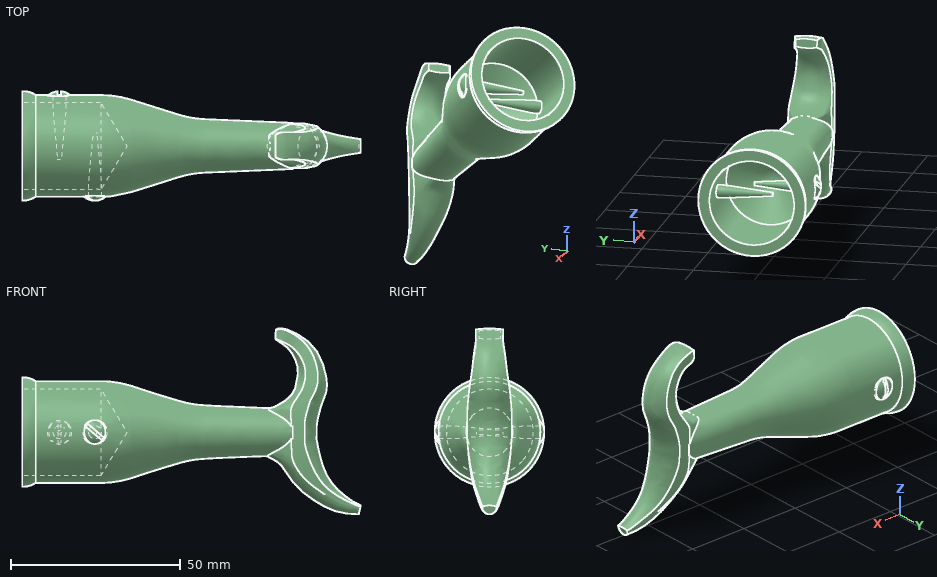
import cadquery as cq
import math

rim_radius = 16.245
rim_length = 4.0
rim_bulge = (2.4, 15.9)
barrel_radius = 15.1
barrel_end = 23.25
shoulder_angle = math.radians(17.5)
shoulder_round = 30.0
shoulder_end = 46.2
waist_round = 30.0
neck_angle = math.radians(2.4)
neck_end = 80.0

bore_radius = 12.85
bore_depth = barrel_end
bore_point_angle = math.radians(118)

head_radius = 3.55
head_crest = rim_radius
head_seat = math.sqrt(barrel_radius**2 - head_radius**2)
slot_width = 1.0
slot_depth = 1.15
shank_radius = 1.9
shank_end = 10.4
tip_radius = 0.55
tip_position = -3.9
screw_places = [
    (21.5, 0, 40),
    (11.0, 180, 90),
]

hook_sections = [
    ((74.83, 27.5), (75.0, 30.3), 0.3, 0.3, 3.2),
    ((75.4, 27.05), (75.7, 30.63), 0.4, 0.3, 3.65),
    ((78.4, 25.0), (81.3, 29.05), 0.9, 0.6, 4.0),
    ((80.8, 21.3), (87.2, 23.9), 1.8, 1.6, 4.6),
    ((81.5, 17.0), (90.0, 16.3), 2.3, 2.5, 5.4),
    ((80.7, 12.9), (90.0, 11.8), 2.1, 3.3, 6.0),
    ((78.6, 10.0), (88.9, 8.8), 2.4, 3.7, 6.3),
    ((74.7, 7.5), (88.3, 7.1), 5.0, 3.7, 6.5),
    ((71.0, 6.4), (87.5, 3.9), 8.6, 3.7, 6.6),
    ((70.0, 0.0), (87.2, 0.0), 9.6, 3.7, 6.65),
    ((71.4, -6.4), (87.4, -3.5), 8.4, 3.7, 6.4),
    ((75.2, -8.7), (88.0, -6.3), 4.8, 3.5, 6.1),
    ((80.0, -14.7), (89.2, -10.5), 3.4, 2.9, 5.3),
    ((86.3, -20.2), (91.6, -15.0), 3.3, 2.1, 4.1),
    ((92.5, -23.4), (95.6, -18.9), 2.8, 1.1, 2.9),
    ((96.0, -24.15), (97.9, -20.5), 2.4, 0.7, 2.45),
    ((99.6, -24.38), (100.21, -21.7), 1.7, 0.3, 2.05),
]


def turned_body():
    """Solid of revolution from the rim to the end of the neck."""
    cone_start = barrel_end + shoulder_round * math.sin(shoulder_angle)
    cone_start_radius = barrel_radius - shoulder_round * (1 - math.cos(shoulder_angle))
    cone_end_radius = cone_start_radius - (shoulder_end - cone_start) * math.tan(shoulder_angle)
    neck_start = shoulder_end + waist_round * (math.sin(shoulder_angle) - math.sin(neck_angle))
    neck_start_radius = cone_end_radius - waist_round * (math.cos(neck_angle) - math.cos(shoulder_angle))
    neck_end_radius = neck_start_radius - (neck_end - neck_start) * math.tan(neck_angle)
    return (
        cq.Workplane("XY")
        .lineTo(0, rim_radius)
        .threePointArc(rim_bulge, (rim_length, barrel_radius))
        .lineTo(barrel_end, barrel_radius)
        .tangentArcPoint((cone_start, cone_start_radius), relative=False)
        .lineTo(shoulder_end, cone_end_radius)
        .tangentArcPoint((neck_start, neck_start_radius), relative=False)
        .lineTo(neck_end, neck_end_radius)
        .lineTo(neck_end, 0)
        .close()
        .revolve(360, (0, 0, 0), (1, 0, 0))
    )


def bore():
    """Cylindrical socket with a conical bottom."""
    cone_depth = bore_radius / math.tan(bore_point_angle / 2)
    return (
        cq.Workplane("XY")
        .lineTo(0, bore_radius)
        .lineTo(bore_depth, bore_radius)
        .lineTo(bore_depth + cone_depth, 0)
        .close()
        .revolve(360, (0, 0, 0), (1, 0, 0))
    )


def hook_section(inner, outer, inner_crown, outer_crown, half_width):
    """Closed wire with flat flanks at +Y and -Y and a crowned inner and outer side."""
    thickness = math.dist(inner, outer)
    across = cq.Vector(outer[0] - inner[0], 0, outer[1] - inner[1])
    plane = cq.Plane(
        origin=(inner[0], 0, inner[1]),
        xDir=across,
        normal=across.cross(cq.Vector(0, 1, 0)),
    )
    flank_end = thickness - outer_crown
    outline = (
        cq.Workplane(plane)
        .moveTo(inner_crown, -half_width)
        .lineTo(flank_end, -half_width)
        .threePointArc((thickness, 0), (flank_end, half_width))
        .lineTo(inner_crown, half_width)
    )
    crest = (0, 0)
    start = (inner_crown, -half_width)
    if inner_crown < half_width:
        outline = outline.threePointArc(crest, start)
    else:
        outline = outline.spline([crest, start], includeCurrent=True)
    return outline.close().val()


def hook():
    """Double hook lofted through its sections."""
    return cq.Workplane(cq.Solid.makeLoft([hook_section(*section) for section in hook_sections]))


def screw_blank():
    """Screw without its slot: domed head at -Y, straight shank, tapered tip."""
    dome_height = head_crest - head_seat
    dome_radius = (head_radius**2 + dome_height**2) / (2 * dome_height)
    half_radius = head_radius / 2
    dome_mid = head_crest - dome_radius + math.sqrt(dome_radius**2 - half_radius**2)
    return (
        cq.Workplane("XY")
        .moveTo(0, -head_crest)
        .threePointArc((half_radius, -dome_mid), (head_radius, -head_seat))
        .lineTo(shank_radius, -head_seat)
        .lineTo(shank_radius, -shank_end)
        .lineTo(tip_radius, -tip_position)
        .lineTo(0, -tip_position)
        .close()
        .revolve(360, (0, 0, 0), (0, 1, 0))
    )


def place_screw(shape, position, direction):
    """Turn a shape round the handle axis and move it along the handle."""
    return shape.rotate((0, 0, 0), (1, 0, 0), direction).translate((position, 0, 0))


def screw(position, direction, slot_turn):
    """One screw in its place, with the driver slot across its head."""
    slot = (
        cq.Workplane("XY")
        .box(2 * head_radius, 2 * slot_depth, slot_width)
        .translate((0, -head_crest, 0))
        .rotate((0, 0, 0), (0, 1, 0), slot_turn)
    )
    return place_screw(screw_blank().cut(slot), position, direction)


handle = turned_body().union(hook()).cut(bore())
for position, direction, slot_turn in screw_places:
    handle = handle.cut(place_screw(screw_blank(), position, direction))

screws = [screw(*place) for place in screw_places]

result = cq.Compound.makeCompound([handle.val(), *[each.val() for each in screws]])